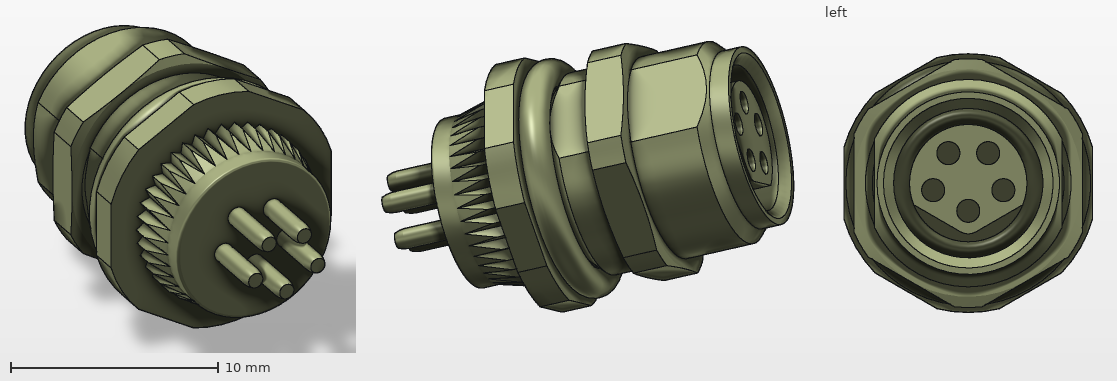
import cadquery as cq
import math


TOTAL_LENGTH = 18.8
RIM_LENGTH = 0.98
THREAD_END = 8.99
FLANGE_START = 10.49
FLANGE_THICKNESS = 1.5
KNURL_TAPER_START = 12.84
KNURL_END = 14.5
COLLAR_END = 15.47

RIM_RADIUS = 8.8 / 2
THREAD_RADIUS = 5.0
THREAD_FLATS = 9.02
THREAD_REAR_CHAMFER = 0.28
FLANGE_DIAMETER = 12.48
FLANGE_ACROSS_FLATS = 12.0
KNURL_RADIUS = 4.65
KNURL_ROOT_RADIUS = 4.21
KNURL_TEETH = 40
COLLAR_RADIUS = 8.4 / 2
COLLAR_EDGE_ROUND = 0.15

SOCKET_RADIUS = 7.2 / 2
SOCKET_DEPTH = 4.89
SOCKET_CHAMFER = 0.49
INSERT_RADIUS = 5.65 / 2
INSERT_RECESS = 0.5
KEY_FLAT_DISTANCE = 2.22
KEY_FLAT_TILT = 30.0
KEY_CORNER_RADIUS = 0.75

SIDE_CONTACT = (1.7, -0.34)
UPPER_CONTACT = (0.95, 1.45)
CONTACTS = [(0.0, -1.33)] + [(side * y, z) for y, z in (SIDE_CONTACT, UPPER_CONTACT) for side in (-1, 1)]
CONTACT_HOLE_DIAMETER = 1.1
CONTACT_HOLE_DEPTH = 3.76
PIN_DIAMETER = 1.0
PIN_TIP_LENGTH = 0.5
PIN_TIP_INSET = 0.11

NUT_START = 5.0
NUT_THICKNESS = 2.0
NUT_DIAMETER = 12.0
NUT_ACROSS_FLATS = 11.0
NUT_FACE_RADIUS = 5.49
NUT_CHAMFER_LENGTH = 0.13
NUT_BORE_RADIUS = 4.62
NUT_BORE_CHAMFER = 0.34

RING_SECTION_RADIUS = 0.75
RING_OUTER_RADIUS = 5.9
RING_CENTER_RADIUS = RING_OUTER_RADIUS - RING_SECTION_RADIUS
NECK_RADIUS = RING_CENTER_RADIUS - RING_SECTION_RADIUS


def across_x(start):
    """Workplane facing +X at the given station, with local x = Y and local y = Z."""
    return cq.Workplane("YZ", origin=(start, 0, 0))


def turned(profile):
    """Solid of revolution about X from a closed profile drawn in (X, radius)."""
    return profile.close().revolve(360, (0, 0, 0), (1, 0, 0))


def cylinder(start, length, radius):
    return across_x(start).circle(radius).extrude(length)


def hexagon(start, length, across_flats):
    """Hexagonal prism with two flats facing +Y and -Y."""
    across_corners = across_flats / math.cos(math.pi / 6)
    return across_x(start).transformed(rotate=(0, 0, 90)).polygon(6, across_corners).extrude(length)


def make_threaded_barrel():
    """Front rim, the barrel with 45 degree ends, and the O-ring neck; flats on the barrel sides."""
    barrel_start = RIM_LENGTH + THREAD_RADIUS - RIM_RADIUS
    neck_start = THREAD_END + THREAD_RADIUS - THREAD_REAR_CHAMFER - NECK_RADIUS
    profile = (
        cq.Workplane("XY")
        .polyline([
            (0, 0),
            (0, RIM_RADIUS),
            (RIM_LENGTH, RIM_RADIUS),
            (barrel_start, THREAD_RADIUS),
            (THREAD_END - THREAD_REAR_CHAMFER, THREAD_RADIUS),
            (neck_start, NECK_RADIUS),
            (FLANGE_START, NECK_RADIUS),
            (FLANGE_START, 0),
        ])
    )
    flats = across_x(0).rect(THREAD_FLATS, 2 * THREAD_RADIUS).extrude(FLANGE_START)
    return turned(profile).intersect(flats)


def make_flange():
    disc = cylinder(FLANGE_START, FLANGE_THICKNESS, FLANGE_DIAMETER / 2)
    return disc.intersect(hexagon(FLANGE_START, FLANGE_THICKNESS, FLANGE_ACROSS_FLATS))


def make_knurl():
    """Straight V-teeth that run out on a cone down to the rear collar."""
    start = FLANGE_START + FLANGE_THICKNESS
    half_pitch = math.pi / KNURL_TEETH
    outline = []
    for i in range(2 * KNURL_TEETH):
        radius = KNURL_ROOT_RADIUS if i % 2 else KNURL_RADIUS
        angle = i * half_pitch
        outline.append((radius * math.cos(angle), radius * math.sin(angle)))
    teeth = across_x(start).polyline(outline).close().extrude(KNURL_END - start)
    envelope = turned(
        cq.Workplane("XY")
        .polyline([
            (start, 0),
            (start, KNURL_RADIUS),
            (KNURL_TAPER_START, KNURL_RADIUS),
            (KNURL_END, COLLAR_RADIUS),
            (KNURL_END, 0),
        ])
    )
    return teeth.intersect(envelope)


def make_collar():
    collar = cylinder(KNURL_END, COLLAR_END - KNURL_END, COLLAR_RADIUS)
    return collar.faces(">X").fillet(COLLAR_EDGE_ROUND)


def make_insert():
    """Contact insert standing in the socket, with two flats meeting in a rounded key at the bottom."""
    length = SOCKET_DEPTH - INSERT_RECESS
    tilt = math.radians(KEY_FLAT_TILT)
    apex_z = -KEY_FLAT_DISTANCE / math.cos(tilt)
    side_z = apex_z + INSERT_RADIUS * math.tan(tilt)
    keyed_prism = (
        across_x(INSERT_RECESS)
        .polyline([
            (0, apex_z),
            (INSERT_RADIUS, side_z),
            (INSERT_RADIUS, INSERT_RADIUS),
            (-INSERT_RADIUS, INSERT_RADIUS),
            (-INSERT_RADIUS, side_z),
        ])
        .close()
        .extrude(length)
        .edges("|X and <Z")
        .fillet(KEY_CORNER_RADIUS)
    )
    return cylinder(INSERT_RECESS, length, INSERT_RADIUS).intersect(keyed_prism)


def make_socket_cavity():
    """Chamfered socket bore; its floor carries a half-round bead around the insert."""
    bead_radius = (SOCKET_RADIUS - INSERT_RADIUS) / 2
    bead_top = (SOCKET_DEPTH - bead_radius, INSERT_RADIUS + bead_radius)
    return turned(
        cq.Workplane("XY")
        .moveTo(0, 0)
        .lineTo(0, SOCKET_RADIUS + SOCKET_CHAMFER)
        .lineTo(SOCKET_CHAMFER, SOCKET_RADIUS)
        .lineTo(SOCKET_DEPTH, SOCKET_RADIUS)
        .threePointArc(bead_top, (SOCKET_DEPTH, INSERT_RADIUS))
        .lineTo(SOCKET_DEPTH, 0)
    )


def make_contact_holes():
    return (
        across_x(INSERT_RECESS)
        .pushPoints(CONTACTS)
        .circle(CONTACT_HOLE_DIAMETER / 2)
        .extrude(CONTACT_HOLE_DEPTH)
    )


def make_solder_pins():
    """Pins on the rear face, each with a tip that curves in tangentially to a small flat end."""
    radius = PIN_DIAMETER / 2
    pin = turned(
        cq.Workplane("XY")
        .moveTo(COLLAR_END, 0)
        .lineTo(COLLAR_END, radius)
        .lineTo(TOTAL_LENGTH - PIN_TIP_LENGTH, radius)
        .tangentArcPoint((TOTAL_LENGTH, radius - PIN_TIP_INSET), relative=False)
        .lineTo(TOTAL_LENGTH, 0)
    )
    pins = cq.Workplane("XY")
    for y, z in CONTACTS:
        pins = pins.add(pin.translate((0, y, z)))
    return pins.combine()


def make_housing():
    shell = make_threaded_barrel().union(make_flange()).union(make_knurl()).union(make_collar())
    socketed = shell.cut(make_socket_cavity()).union(make_insert())
    return socketed.cut(make_contact_holes()).union(make_solder_pins()).solids()


def make_nut(barrel):
    """Hexagon with turned corners; its chamfered bore is narrower than the barrel and is cut to fit it."""
    end = NUT_START + NUT_THICKNESS
    bore_mouth_radius = NUT_BORE_RADIUS + NUT_BORE_CHAMFER
    blank = turned(
        cq.Workplane("XY")
        .polyline([
            (NUT_START, bore_mouth_radius),
            (NUT_START, NUT_FACE_RADIUS),
            (NUT_START + NUT_CHAMFER_LENGTH, NUT_DIAMETER / 2),
            (end - NUT_CHAMFER_LENGTH, NUT_DIAMETER / 2),
            (end, NUT_FACE_RADIUS),
            (end, bore_mouth_radius),
            (end - NUT_BORE_CHAMFER, NUT_BORE_RADIUS),
            (NUT_START + NUT_BORE_CHAMFER, NUT_BORE_RADIUS),
        ])
    )
    return blank.intersect(hexagon(NUT_START, NUT_THICKNESS, NUT_ACROSS_FLATS)).cut(barrel).solids()


def make_o_ring():
    ring_center = FLANGE_START - RING_SECTION_RADIUS
    section = cq.Workplane("XY").center(ring_center, RING_CENTER_RADIUS).circle(RING_SECTION_RADIUS)
    return section.revolve(360, (0, -RING_CENTER_RADIUS, 0), (1, -RING_CENTER_RADIUS, 0))


housing = make_housing()
nut = make_nut(make_threaded_barrel())
o_ring = make_o_ring()

result = cq.Compound.makeCompound([housing.val(), nut.val(), o_ring.val()])